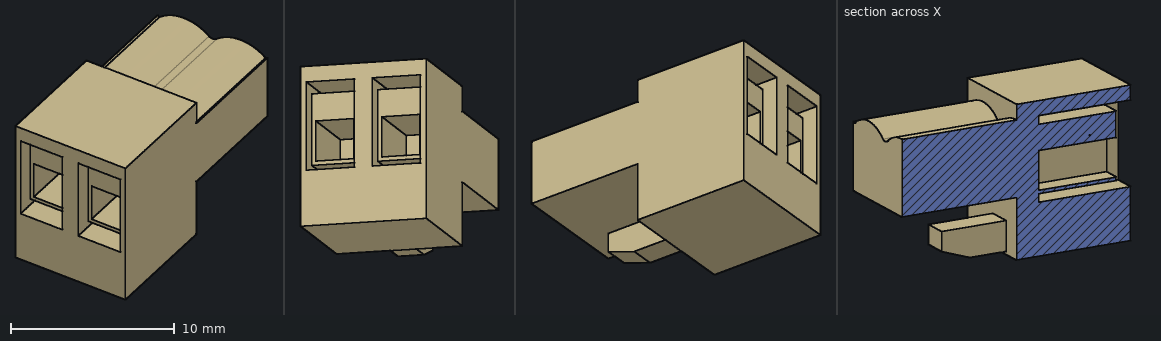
import cadquery as cq

width = 8.0
total_length = 16.0
height = 10.0
housing_length = 8.0

plug_bottom = 4.0
plug_top = 9.0
lobe_base = 8.37
lobe_edge_inset = 0.15
lobe_edge_rise = 0.08
valley_width = 0.55
valley_depth = 0.1

tongue_width = 1.66
tongue_bottom = 0.2
tongue_top = 2.2
tongue_end = 12.51
tongue_ramp_start = 10.55
tongue_tip_bottom = 0.9

entry_pitch = 4.2
entry_width = 3.04
entry_bottom = 3.49
entry_top = 9.0
entry_depth = 6.4

cage_width = 2.93
cage_bottom = 4.0
cage_top = 8.48
cage_setback = 1.0
cage_opening_width = 2.42
cage_opening_bottom = 4.25
cage_opening_top = 6.77


def block(x_center, x_size, y_start, y_end, z_start, z_end):
    """Box given by its X centre and width and its Y and Z limits."""
    corner = (x_center - x_size / 2, y_start, z_start)
    return cq.Workplane("XY").box(x_size, y_end - y_start, z_end - z_start, centered=False).translate(corner)


def make_plug():
    """Body whose top is two convex lobes joined by a concave valley."""
    half_width = width / 2
    lobe_outer = half_width - lobe_edge_inset
    lobe_inner = valley_width / 2
    lobe_center = (lobe_outer + lobe_inner) / 2
    edge_top = lobe_base + lobe_edge_rise
    profile = (
        cq.Workplane("XZ", origin=(0, total_length, 0))
        .moveTo(-half_width, plug_bottom)
        .lineTo(-half_width, edge_top)
        .lineTo(-lobe_outer, lobe_base)
        .threePointArc((-lobe_center, plug_top), (-lobe_inner, lobe_base))
        .threePointArc((0, lobe_base - valley_depth), (lobe_inner, lobe_base))
        .threePointArc((lobe_center, plug_top), (lobe_outer, lobe_base))
        .lineTo(half_width, edge_top)
        .lineTo(half_width, plug_bottom)
        .close()
    )
    return profile.extrude(total_length - housing_length)


def make_tongue():
    """Latch tongue with a ramped underside at its tip."""
    outline = [
        (housing_length, tongue_bottom),
        (tongue_ramp_start, tongue_bottom),
        (tongue_end, tongue_tip_bottom),
        (tongue_end, tongue_top),
        (housing_length, tongue_top),
    ]
    return cq.Workplane("YZ").polyline(outline).close().extrude(tongue_width / 2, both=True)


def make_entry(x_center):
    """Volume removed for one wire entry, leaving its hollow clamp cage."""
    pocket = block(x_center, entry_width, 0, entry_depth, entry_bottom, entry_top)
    cage = block(x_center, cage_width, cage_setback, entry_depth, cage_bottom, cage_top)
    opening = block(
        x_center, cage_opening_width, cage_setback, entry_depth, cage_opening_bottom, cage_opening_top
    )
    return pocket.cut(cage.cut(opening))


result = block(0, width, 0, housing_length, 0, height).union(make_plug()).union(make_tongue())
for side in (-1, 1):
    result = result.cut(make_entry(side * entry_pitch / 2))